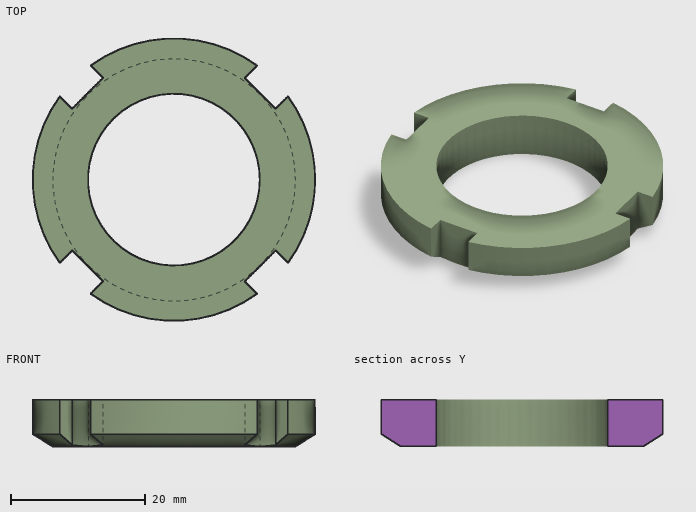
import cadquery as cq

outer_diameter = 42.0
bore_diameter = 25.5
thickness = 7.0

chamfer_height = 1.9
chamfer_width = 3.0

slot_count = 4
slot_width = 6.45
slot_floor_distance = 18.15
first_slot_angle = 45.0

outer_radius = outer_diameter / 2
bore_radius = bore_diameter / 2


def make_ring():
    """Revolve the ring section about Z, with its lower face on Z = 0."""
    return (
        cq.Workplane("XZ")
        .moveTo(bore_radius, 0)
        .lineTo(outer_radius - chamfer_width, 0)
        .lineTo(outer_radius, chamfer_height)
        .lineTo(outer_radius, thickness)
        .lineTo(bore_radius, thickness)
        .close()
        .revolve(360, (0, 0, 0), (0, 1, 0))
    )


def make_slot_cutter(angle):
    """Block that starts at the slot floor and reaches past the rim."""
    cutter_length = outer_radius
    return (
        cq.Workplane("XY")
        .box(cutter_length, slot_width, thickness, centered=(False, True, False))
        .translate((slot_floor_distance, 0, 0))
        .rotate((0, 0, 0), (0, 0, 1), angle)
    )


result = make_ring()
for slot_index in range(slot_count):
    slot_angle = first_slot_angle + slot_index * 360 / slot_count
    result = result.cut(make_slot_cutter(slot_angle))